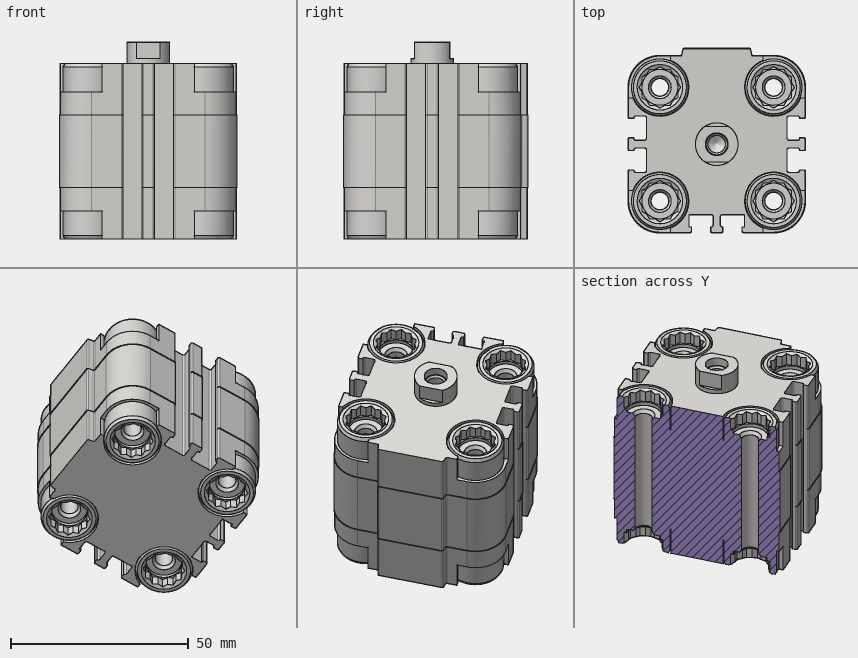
import cadquery as cq
import math

WIDTH = 50.0
HEIGHT = 49.5
CAP_HEIGHT = 14.5
CAP_INSET = 0.2
BOSS_PITCH = 32.0
HALF_WIDTH = WIDTH / 2
HALF_PITCH = BOSS_PITCH / 2
CUT_MARGIN = 1.0
EDGE_TOLERANCE = 0.02

RIB_RISE = 2.0
RIB_BASE_HALF = 9.9
RIB_TOP_HALF = 9.5
RIB_TOP_FILLET = 0.4
RIB_BASE_FILLET = 0.3

SIDE_WEB_HALF = 1.13
SIDE_LIP_HALF = 1.84
SIDE_OPENING_EDGE = 7.24
SIDE_SLOT_EDGE = 7.9
SIDE_DEPTH = 5.2
SIDE_LIP_DEPTH = 1.7
FRONT_WEB_HALF = 1.05
FRONT_LIP_HALF = 1.75
FRONT_OPENING_EDGE = 7.1
FRONT_SLOT_EDGE = 7.8
FRONT_DEPTH = 5.1
FRONT_LIP_DEPTH = 1.75
SLOT_FILLET = 0.5
MOUTH_FILLET = 0.45

BOSS_DIAMETER = 16.0
BORE_DIAMETER = 16.3
BOSS_CHAMFER_WIDTH = 0.55
BOSS_CHAMFER_HEIGHT = 1.0
CORNER_WALL = 13.0
CORNER_DEPTH = 8.0

SOCKET_ACROSS_FLATS = 10.1
SOCKET_FLOOR_DIAMETER = SOCKET_ACROSS_FLATS
SOCKET_POINTS = 12
SOCKET_DEPTH = 3.9
SOCKET_MOUTH_DIAMETER = 12.8
SOCKET_MOUTH_DEPTH = 0.7
SOCKET_FLOOR_DEPTH = 5.0
SCREW_HOLE_DIAMETER = 4.92
COUNTERSINK_DIAMETER = 6.4
COUNTERSINK_DEPTH = 1.0

ROD_DIAMETER = 12.0
ROD_PROJECTION = 6.0
ROD_ENGAGEMENT = CAP_HEIGHT
ROD_ACROSS_FLATS = 10.0
ROD_FLAT_LENGTH = 4.7
ROD_BORE_DIAMETER = 6.4
ROD_BORE_DEPTH = 2.5
ROD_THREAD_DIAMETER = 6.0
ROD_CORE_DIAMETER = 4.92
ROD_CORE_DEPTH = 10.0
ROD_DRILL_ANGLE = 118.0


def upright_edges(x_span, y_span):
    """Selector for the vertical edges whose X and Y lie within the two spans."""
    slack = EDGE_TOLERANCE
    low = (x_span[0] - slack, y_span[0] - slack, 0)
    high = (x_span[1] + slack, y_span[1] + slack, HEIGHT)
    return cq.selectors.ParallelDirSelector(cq.Vector(0, 0, 1)) & cq.selectors.BoxSelector(low, high)


def section_blank(inset, bottom, top):
    """Rounded square with the back rib, inset all round, between two heights."""
    half = HALF_WIDTH - inset
    square = (
        cq.Workplane("XY")
        .workplane(offset=bottom)
        .rect(2 * half, 2 * half)
        .extrude(top - bottom)
        .edges("|Z")
        .fillet(half - HALF_PITCH)
    )
    rib = (
        cq.Workplane("XY")
        .workplane(offset=bottom)
        .moveTo(-RIB_BASE_HALF, 0)
        .lineTo(RIB_BASE_HALF, 0)
        .lineTo(RIB_BASE_HALF, half)
        .lineTo(RIB_TOP_HALF, half + RIB_RISE)
        .lineTo(-RIB_TOP_HALF, half + RIB_RISE)
        .lineTo(-RIB_BASE_HALF, half)
        .close()
        .extrude(top - bottom)
    )
    rib = rib.edges("|Z and >Y").fillet(RIB_TOP_FILLET)
    feet = upright_edges((-RIB_BASE_HALF, RIB_BASE_HALF), (half, half))
    return square.union(rib).edges(feet).fillet(RIB_BASE_FILLET)


def t_slot(web, lip, opening, slot, depth, lip_depth, round_outer):
    """One T-slot of the -Y face, on the +X side of its web."""
    clear = HALF_WIDTH + CUT_MARGIN
    floor = HALF_WIDTH - depth
    neck = HALF_WIDTH - lip_depth
    wide = (
        cq.Workplane("XY")
        .rect(slot - web, neck - floor)
        .extrude(HEIGHT)
        .edges("|Z" if round_outer else "|Z and <X")
        .fillet(SLOT_FILLET)
        .translate(((slot + web) / 2, -(neck + floor) / 2, 0))
    )
    mouth = (
        cq.Workplane("XY")
        .rect(opening - lip, clear - floor - SLOT_FILLET)
        .extrude(HEIGHT)
        .translate(((opening + lip) / 2, -(clear + floor + SLOT_FILLET) / 2, 0))
    )
    return wide.union(mouth)


def slot_pair(*slot_sizes):
    """A T-slot and its mirror image across the web between them."""
    right = t_slot(*slot_sizes)
    return right.union(right.mirror("YZ"))


def section(inset, bottom, top):
    """One length of the profile with its three slot pairs cut and their mouths rounded."""
    half = HALF_WIDTH - inset
    front = slot_pair(FRONT_WEB_HALF, FRONT_LIP_HALF, FRONT_OPENING_EDGE, FRONT_SLOT_EDGE,
                      FRONT_DEPTH, FRONT_LIP_DEPTH, False)
    side = slot_pair(SIDE_WEB_HALF, SIDE_LIP_HALF, SIDE_OPENING_EDGE, SIDE_SLOT_EDGE,
                     SIDE_DEPTH, SIDE_LIP_DEPTH, True)
    body = section_blank(inset, bottom, top).cut(front)
    for angle in (-90, 90):
        body = body.cut(side.rotate((0, 0, 0), (0, 0, 1), angle))

    front_span = (-FRONT_SLOT_EDGE, FRONT_SLOT_EDGE)
    side_span = (-SIDE_SLOT_EDGE, SIDE_SLOT_EDGE)
    mouths = body.edges(upright_edges(front_span, (-half, -half)))
    for face_x in (-half, half):
        mouths = mouths.add(body.edges(upright_edges((face_x, face_x), side_span)))
    return mouths.fillet(MOUTH_FILLET)


def cone(bottom_diameter, top_diameter, height):
    """Upright cone frustum standing on the XY plane."""
    return cq.Workplane(cq.Solid.makeCone(bottom_diameter / 2, top_diameter / 2, height))


def corner_cut():
    """Material removed around the boss in the +X +Y corner, measured down from Z = 0."""
    size = HALF_WIDTH + CUT_MARGIN - CORNER_WALL
    corner = (
        cq.Workplane("XY")
        .box(size, size, CORNER_DEPTH, centered=False)
        .translate((CORNER_WALL, CORNER_WALL, -CORNER_DEPTH))
    )
    bore = (
        cq.Workplane("XY")
        .circle(BORE_DIAMETER / 2)
        .extrude(-CORNER_DEPTH)
        .translate((HALF_PITCH, HALF_PITCH, 0))
    )
    chamfered_height = CORNER_DEPTH - BOSS_CHAMFER_HEIGHT
    top_diameter = BOSS_DIAMETER - 2 * BOSS_CHAMFER_WIDTH
    boss = (
        cq.Workplane("XY")
        .circle(BOSS_DIAMETER / 2)
        .extrude(chamfered_height)
        .union(cone(BOSS_DIAMETER, top_diameter, BOSS_CHAMFER_HEIGHT).translate((0, 0, chamfered_height)))
        .translate((HALF_PITCH, HALF_PITCH, -CORNER_DEPTH))
    )
    return corner.union(bore).cut(boss)


def socket_cut():
    """Twelve-point socket with its coned mouth, round floor and countersink, down from Z = 0."""
    corner_diameter = SOCKET_ACROSS_FLATS / math.cos(math.pi / 6)
    cut = cq.Workplane("XY").circle(SOCKET_FLOOR_DIAMETER / 2).extrude(-SOCKET_FLOOR_DEPTH)
    hexagon = cq.Workplane("XY").polygon(SOCKET_POINTS // 2, corner_diameter).extrude(-SOCKET_DEPTH)
    for angle in (0, 360 / SOCKET_POINTS):
        cut = cut.union(hexagon.rotate((0, 0, 0), (0, 0, 1), angle))
    mouth = cone(SOCKET_FLOOR_DIAMETER, SOCKET_MOUTH_DIAMETER, SOCKET_MOUTH_DEPTH)
    sink = cone(SCREW_HOLE_DIAMETER, COUNTERSINK_DIAMETER, COUNTERSINK_DEPTH)
    cut = cut.union(mouth.translate((0, 0, -SOCKET_MOUTH_DEPTH)))
    cut = cut.union(sink.translate((0, 0, -SOCKET_FLOOR_DEPTH - COUNTERSINK_DEPTH)))
    return cut.translate((HALF_PITCH, HALF_PITCH, 0))


def make_housing():
    """Profiled body with smaller end sections, four bosses at each end and the rod hole."""
    cap_top = HEIGHT - CAP_HEIGHT
    body = section(0, CAP_HEIGHT, cap_top)
    body = body.union(section(CAP_INSET, 0, CAP_HEIGHT))
    body = body.union(section(CAP_INSET, cap_top, HEIGHT))

    boss_top = corner_cut().union(socket_cut()).translate((0, 0, HEIGHT))
    boss_bottom = corner_cut().union(socket_cut()).mirror("XY")
    for angle in (0, 90, 180, 270):
        for cut in (boss_top, boss_bottom):
            body = body.cut(cut.rotate((0, 0, 0), (0, 0, 1), angle))

    screw_holes = (
        cq.Workplane("XY")
        .rect(BOSS_PITCH, BOSS_PITCH, forConstruction=True)
        .vertices()
        .circle(SCREW_HOLE_DIAMETER / 2)
        .extrude(HEIGHT)
    )
    rod_hole = (
        cq.Workplane("XY")
        .workplane(offset=HEIGHT - ROD_ENGAGEMENT)
        .circle(ROD_DIAMETER / 2)
        .extrude(ROD_ENGAGEMENT)
    )
    return body.cut(screw_holes).cut(rod_hole)


def make_rod():
    """Piston rod with two spanner flats and a stepped hole with a drill point."""
    length = ROD_ENGAGEMENT + ROD_PROJECTION
    rod = cq.Workplane("XY").circle(ROD_DIAMETER / 2).extrude(length)
    flat_blank = (
        cq.Workplane("XY")
        .workplane(offset=length - ROD_FLAT_LENGTH)
        .rect(2 * ROD_DIAMETER, 2 * ROD_DIAMETER)
        .rect(2 * ROD_DIAMETER, ROD_ACROSS_FLATS)
        .extrude(ROD_FLAT_LENGTH)
    )
    bore_radius = ROD_BORE_DIAMETER / 2
    thread_radius = ROD_THREAD_DIAMETER / 2
    core_radius = ROD_CORE_DIAMETER / 2
    bore_floor = length - ROD_BORE_DEPTH
    core_floor = length - ROD_CORE_DEPTH
    tip = core_radius / math.tan(math.radians(ROD_DRILL_ANGLE / 2))
    hole = (
        cq.Workplane("XZ")
        .moveTo(0, length)
        .lineTo(bore_radius, length)
        .lineTo(bore_radius, bore_floor)
        .lineTo(thread_radius, bore_floor)
        .lineTo(core_radius, bore_floor - (thread_radius - core_radius))
        .lineTo(core_radius, core_floor)
        .lineTo(0, core_floor - tip)
        .close()
        .revolve(360, (0, 0, 0), (0, 1, 0))
    )
    return rod.cut(flat_blank).cut(hole).translate((0, 0, HEIGHT - ROD_ENGAGEMENT))


housing = make_housing()
rod = make_rod()
result = cq.Compound.makeCompound([housing.val(), rod.val()])